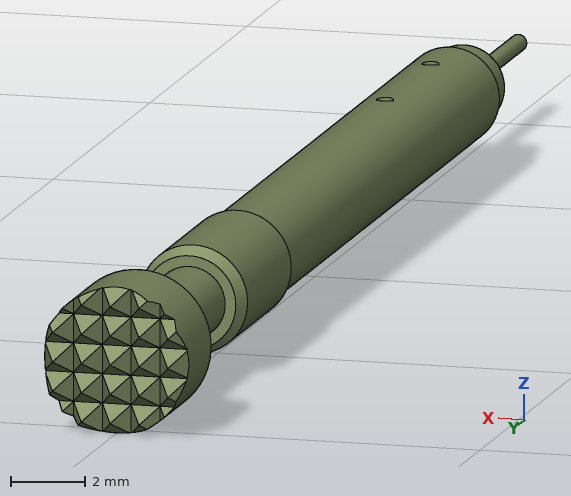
import cadquery as cq
import math

total_length = 42.3
head_diameter = 4.0
plunger_diameter = 2.0
collar_diameter = 3.0
barrel_diameter = 2.7
tail_diameter = 2.25
pin_diameter = 0.45

head_back = 3.0
collar_front = 8.2
collar_back = 13.15
barrel_back = 35.2
tail_back = 36.75

collar_chamfer_length = 0.42
collar_chamfer_height = 0.2
pin_chamfer = 0.13
tail_chamfer_length = 0.15
tail_chamfer_height = 0.1

tooth_pitch = 0.8
groove_angle = 60.0
tooth_height = tooth_pitch / 2 / math.tan(math.radians(groove_angle / 2))
grooves_across = 6

dimple_diameter = 0.45
dimple_depth = 0.2
dimple_distances = (28.4, 33.08)

tip_y = total_length / 2


def turned_body():
    """All the round sections as one revolved half outline."""
    collar_radius = collar_diameter / 2
    tail_radius = tail_diameter / 2
    pin_radius = pin_diameter / 2
    outline = [
        (0, 0),
        (head_diameter / 2, 0),
        (head_diameter / 2, head_back),
        (plunger_diameter / 2, head_back),
        (plunger_diameter / 2, collar_front),
        (collar_radius - collar_chamfer_height, collar_front),
        (collar_radius, collar_front + collar_chamfer_length),
        (collar_radius, collar_back),
        (barrel_diameter / 2, collar_back),
        (barrel_diameter / 2, barrel_back),
        (tail_radius, barrel_back),
        (tail_radius, tail_back - tail_chamfer_length),
        (tail_radius - tail_chamfer_height, tail_back),
        (pin_radius, tail_back),
        (pin_radius, total_length - pin_chamfer),
        (pin_radius - pin_chamfer, total_length),
        (0, total_length),
    ]
    points = [(radius, tip_y - distance) for radius, distance in outline]
    return cq.Workplane("XY").polyline(points).close().revolve(360, (0, 0), (0, 1))


def tooth_grooves():
    """V-grooves running along Z, side by side across the head."""
    half_pitch = tooth_pitch / 2
    grooves = cq.Workplane("XY")
    for index in range(grooves_across):
        center = (index - (grooves_across - 1) / 2) * tooth_pitch
        corners = [
            (center - half_pitch, tip_y),
            (center, tip_y - tooth_height),
            (center + half_pitch, tip_y),
        ]
        groove = cq.Workplane("XY").polyline(corners).close().extrude(head_diameter, both=True)
        grooves = grooves.add(groove)
    return grooves.combine()


def dimples():
    """Round recesses along the top line of the barrel."""
    floor_z = barrel_diameter / 2 - dimple_depth
    places = [(0, tip_y - distance) for distance in dimple_distances]
    plane = cq.Workplane("XY", origin=(0, 0, floor_z))
    return plane.pushPoints(places).circle(dimple_diameter / 2).extrude(barrel_diameter)


grooves = tooth_grooves()
crossing_grooves = grooves.rotate((0, 0, 0), (0, 1, 0), 90)
result = turned_body().cut(grooves).cut(crossing_grooves).cut(dimples())